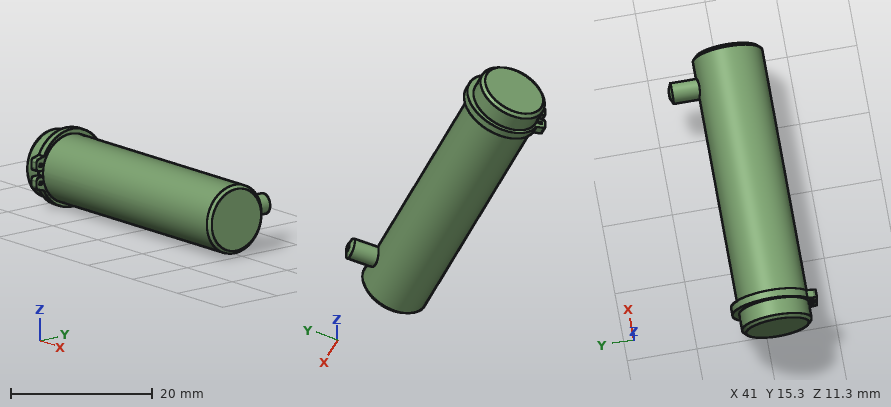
import cadquery as cq
import math

shaft_length = 41.0
shaft_diameter = 10.0
shaft_radius = shaft_diameter / 2
shaft_chamfer = 0.5

pin_diameter = 3.0
pin_end_distance = 4.55
pin_tip_y = 9.1
pin_chamfer_length = 0.4
pin_chamfer_angle = 65.0

ring_start = 2.85
ring_thickness = 1.15
ring_diameter = 11.35
ring_offset_y = 0.3
groove_diameter = 9.6

gap_half_width = 0.45
lug_tip_y = -6.2
lug_root_z = 2.5
lug_root_y = ring_offset_y - math.sqrt((ring_diameter / 2) ** 2 - lug_root_z**2)
lug_taper_angle = 15.0
lug_corner_radius = 0.5
lug_inner_y = -shaft_radius / 2
lug_hole_diameter = 0.5
lug_hole_y = -5.4
lug_hole_z = 1.3

ring_plane = cq.Workplane("YZ", origin=(ring_start, 0, 0))


def make_groove_core():
    """Disc that stays at the bottom of the ring groove."""
    return ring_plane.circle(groove_diameter / 2).extrude(ring_thickness)


def make_shaft():
    shaft = cq.Workplane("YZ").circle(shaft_radius).extrude(shaft_length)
    shaft = shaft.faces("<X or >X").chamfer(shaft_chamfer)
    groove_band = ring_plane.circle(shaft_radius).extrude(ring_thickness)
    return shaft.cut(groove_band.cut(make_groove_core()))


def make_pin():
    """Half profile revolved about the Y direction, from the shaft axis to the tip."""
    pin_radius = pin_diameter / 2
    tip_radius = pin_radius - pin_chamfer_length * math.tan(math.radians(pin_chamfer_angle))
    return (
        cq.Workplane("XY")
        .moveTo(0, 0)
        .lineTo(pin_radius, 0)
        .lineTo(pin_radius, pin_tip_y - pin_chamfer_length)
        .lineTo(tip_radius, pin_tip_y)
        .lineTo(0, pin_tip_y)
        .close()
        .revolve(360, (0, 0), (0, 1))
        .translate((shaft_length - pin_end_distance, 0, 0))
    )


def make_lug():
    """Upper lug: flat along the gap, tapered outside, with rounded tip corners."""
    taper_drop = (lug_root_y - lug_tip_y) * math.tan(math.radians(lug_taper_angle))
    outline = [
        (lug_inner_y, gap_half_width),
        (lug_tip_y, gap_half_width),
        (lug_tip_y, lug_root_z - taper_drop),
        (lug_root_y, lug_root_z),
        (lug_inner_y, lug_root_z),
    ]
    lug = ring_plane.polyline(outline).close().extrude(ring_thickness)
    lug = lug.faces("<Y").edges("|X").fillet(lug_corner_radius)
    hole = (
        ring_plane
        .center(lug_hole_y, lug_hole_z)
        .circle(lug_hole_diameter / 2)
        .extrude(ring_thickness)
    )
    return lug.cut(hole)


def make_ring():
    ring = ring_plane.center(ring_offset_y, 0).circle(ring_diameter / 2).extrude(ring_thickness)
    lug_space = (
        ring_plane.center((lug_tip_y + lug_inner_y) / 2, 0)
        .rect(lug_inner_y - lug_tip_y, 2 * lug_root_z)
        .extrude(ring_thickness)
    )
    upper_lug = make_lug()
    ring = ring.cut(lug_space).union(upper_lug).union(upper_lug.mirror("XY"))
    return ring.cut(make_groove_core())


result = make_shaft().union(make_pin()).union(make_ring())